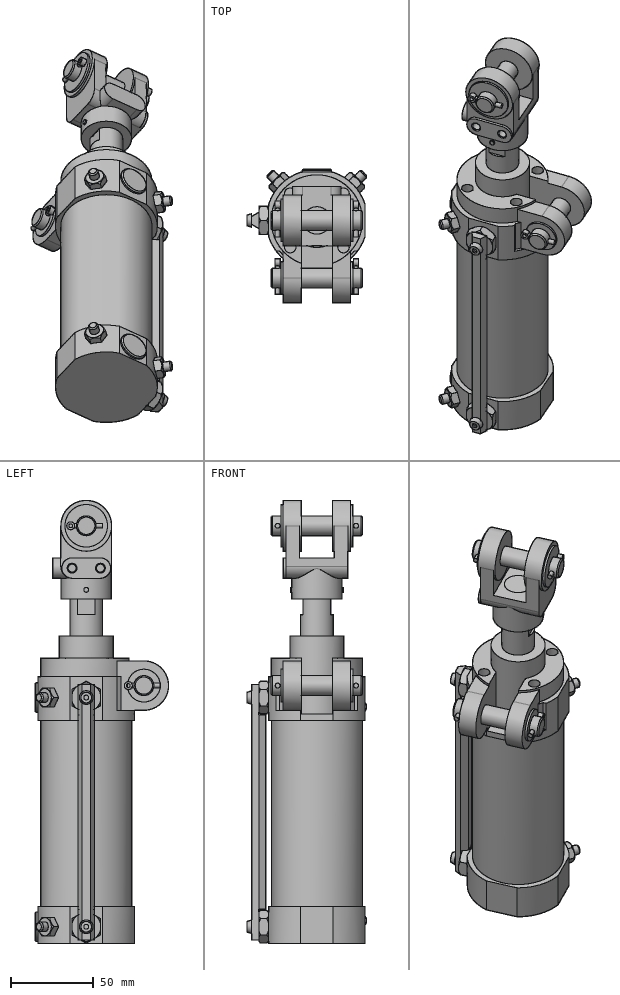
import cadquery as cq
import math


COVER_RADIUS = 31.0
COVER_FLAT = 29.5
REAR_COVER_TOP = 22.6
FRONT_COVER_BOTTOM = 135.5
FRONT_COVER_TOP = 162.2
TUBE_RADIUS = 27.8
FLANGE_TOP = 173.5
BOSS_RADIUS = 16.5
BOSS_TOP = 187.0

REAR_PORT_Z = 10.2
FRONT_PORT_Z = 149.5
PORT_HEIGHTS = (REAR_PORT_Z, FRONT_PORT_Z)

PORT_PAD_DIAMETER = 18.0
PORT_PAD_FACE = 31.3
PORT_PAD_CHAMFER = 0.8

FLANGE_HOLE_DIAMETER = 7.0
FLANGE_HOLE_DEPTH = 6.7
FLANGE_HOLE_RADIUS = 23.0
FLANGE_HOLE_COUNT = 4
FLANGE_HOLE_ANGLE = 45

FITTING_HEX = 13.2
FITTING_HEX_FACE = 35.5
FITTING_TIP_DIAMETER = 6.0
FITTING_TIP_FACE = 40.7
FITTING_TIP_CHAMFER = 0.8
LEFT_FITTING_ANGLE = 135
RIGHT_FITTING_ANGLE = 45
RIGHT_FITTING_HEIGHTS = (14.0, 144.0)
HEX_CHAMFER = 1.0

EAR_INNER = 9.5
EAR_OUTER = 20.5
WASHER_FACE = 21.8
PIN_DIAMETER = 12.0

EAR_RADIUS = 15.0
LOWER_PIN_Y = -35.0
LOWER_PIN_Z = 156.8
LOWER_WASHER_DIAMETER = 20.0
SLOT_FLOOR = 139.5
EAR_BOTTOM = LOWER_PIN_Z - EAR_RADIUS
RELIEF_RADIUS = 29.5
RELIEF_Y = -18.5

ROD_DIAMETER = 20.0
ROD_FLATS = 17.0
ROD_FLATS_BOTTOM = 200.0
ROD_STUD_DIAMETER = 16.7

KNUCKLE_RADIUS = 15.5
KNUCKLE_NECK_DIAMETER = 30.7
KNUCKLE_BOTTOM = 209.5
KNUCKLE_BLOCK_BOTTOM = 222.0
KNUCKLE_BLOCK_ROUND = 7.3
KNUCKLE_ARM_INNER = 10.5
KNUCKLE_ARM_OUTER = 18.9
KNUCKLE_FLOOR = 234.5
KNUCKLE_TOP = 269.5
UPPER_PIN_Z = KNUCKLE_TOP - KNUCKLE_RADIUS
UPPER_WASHER_DIAMETER = 26.0
PAD_HEIGHT = KNUCKLE_FLOOR - KNUCKLE_BLOCK_BOTTOM
PAD_Z = (KNUCKLE_FLOOR + KNUCKLE_BLOCK_BOTTOM) / 2
PAD_LENGTH = 29.6
PAD_FACE = 20.5
PAD_HOLE_DIAMETER = 4.9
PAD_HOLE_MOUTH = 6.0
PAD_HOLE_DEPTH = 5.5
PAD_HOLE_Y = 8.5

SPRING_PIN_DIAMETER = 3.0
SPRING_PIN_LENGTH = 32.3
SPRING_PIN_Z = 215.0

PIN_HALF_LENGTH = 27.8
PIN_CHAMFER = 0.8
COTTER_X = 23.85
COTTER_DIAMETER = 3.0
COTTER_TAIL = 10.0
COTTER_EYE_Y = 9.5
COTTER_EYE_OUTER = 4.9
COTTER_EYE_INNER = 2.3
COTTER_EYE_WIDTH = 3.2

RAIL_CORNERS = 10.0
RAIL_OUTER_FACE = 39.5
RAIL_END_MARGIN = 8.0
RAIL_SCREW_BASE = 8.4
RAIL_SCREW_TIP = 6.5
RAIL_SCREW_FACE = 42.5
RAIL_SOCKET_DIAMETER = 3.0
RAIL_SOCKET_DEPTH = 1.3
RAIL_NUT_CORNERS = 20.0
RAIL_NUT_CLEARANCE = 0.5
RAIL_X = RAIL_OUTER_FACE - RAIL_CORNERS * math.sqrt(3) / 4


def cylinder_z(diameter, bottom, top):
    return cq.Workplane("XY", origin=(0, 0, bottom)).circle(diameter / 2).extrude(top - bottom)


def cylinder_x(diameter, start, end, y, z):
    return cq.Workplane("YZ", origin=(start, y, z)).circle(diameter / 2).extrude(end - start)


def box(x_range, y_range, z_range):
    corner = (x_range[0], y_range[0], z_range[0])
    size = [high - low for low, high in (x_range, y_range, z_range)]
    return cq.Workplane("XY").box(*size, centered=False).translate(corner)


def both_sides(shape):
    """The shape together with its mirror image across X = 0."""
    return shape.union(shape.mirror("YZ"))


def cover(bottom, top):
    square = box((-COVER_FLAT, COVER_FLAT), (-COVER_FLAT, COVER_FLAT), (bottom, top))
    return cylinder_z(2 * COVER_RADIUS, bottom, top).intersect(square)


def port_pad(z):
    pad = cq.Workplane("XZ", origin=(0, PORT_PAD_FACE, z)).circle(PORT_PAD_DIAMETER / 2)
    return pad.extrude(PORT_PAD_FACE - TUBE_RADIUS).faces(">Y").chamfer(PORT_PAD_CHAMFER)


def hexagon_x(corners, start, end, z, chamfered_faces):
    """Hexagon along X with corners towards +Y and -Y, bevelled at the chosen ends."""
    prism = cq.Workplane("YZ", origin=(start, 0, z)).polygon(6, corners).extrude(end - start)
    bevel = cylinder_x(corners, start, end, 0, z).faces(chamfered_faces).chamfer(HEX_CHAMFER)
    return prism.intersect(bevel)


def fitting(z, angle):
    """Hexagon and round tip, built along +X and turned about the cylinder axis."""
    hexagon = hexagon_x(FITTING_HEX, TUBE_RADIUS, FITTING_HEX_FACE, z, ">X")
    tip = cylinder_x(FITTING_TIP_DIAMETER, TUBE_RADIUS, FITTING_TIP_FACE, 0, z)
    tip = tip.faces(">X").chamfer(FITTING_TIP_CHAMFER)
    return hexagon.union(tip).rotate((0, 0, 0), (0, 0, 1), angle)


def rail_nut(z):
    """Nut with corners above and below, between the rail and a flat of the cover."""
    nut = hexagon_x(RAIL_NUT_CORNERS, -RAIL_X, -COVER_FLAT, z, "<X or >X")
    return nut.rotate((0, 0, z), (1, 0, z), 90)


def cover_ears():
    top = LOWER_PIN_Z + EAR_RADIUS
    arm = box((EAR_INNER, EAR_OUTER), (LOWER_PIN_Y, -BOSS_RADIUS), (EAR_BOTTOM, top))
    ear = arm.union(cylinder_x(2 * EAR_RADIUS, EAR_INNER, EAR_OUTER, LOWER_PIN_Y, LOWER_PIN_Z))
    ear = ear.union(cylinder_x(LOWER_WASHER_DIAMETER, EAR_OUTER, WASHER_FACE, LOWER_PIN_Y, LOWER_PIN_Z))
    return both_sides(ear)


def ear_slot():
    """Gap between the ears, ending on the round boss."""
    gap = box((-EAR_INNER, EAR_INNER), (-COVER_RADIUS, 0), (SLOT_FLOOR, FLANGE_TOP))
    return gap.cut(cylinder_z(2 * BOSS_RADIUS, SLOT_FLOOR, FLANGE_TOP))


def ear_reliefs():
    """Shallow arcs cut from the outside of the front cover beside the ears."""
    strip = box((EAR_OUTER, COVER_RADIUS), (-COVER_RADIUS, RELIEF_Y), (EAR_BOTTOM, FRONT_COVER_TOP))
    return both_sides(strip.cut(cylinder_z(2 * RELIEF_RADIUS, EAR_BOTTOM, FRONT_COVER_TOP)))


def make_housing():
    body = cover(0, REAR_COVER_TOP)
    body = body.union(cylinder_z(2 * TUBE_RADIUS, 0, FLANGE_TOP))
    body = body.union(cover(FRONT_COVER_BOTTOM, FRONT_COVER_TOP))
    body = body.union(cylinder_z(2 * BOSS_RADIUS, FRONT_COVER_BOTTOM, BOSS_TOP))
    body = body.cut(ear_reliefs()).union(cover_ears()).cut(ear_slot())
    for z in PORT_HEIGHTS:
        body = body.union(port_pad(z)).union(rail_nut(z))
        body = body.union(fitting(z, LEFT_FITTING_ANGLE))
    for z in RIGHT_FITTING_HEIGHTS:
        body = body.union(fitting(z, RIGHT_FITTING_ANGLE))
    flange_holes = (
        cq.Workplane("XY", origin=(0, 0, FLANGE_TOP))
        .polarArray(FLANGE_HOLE_RADIUS, FLANGE_HOLE_ANGLE, 360, FLANGE_HOLE_COUNT)
        .circle(FLANGE_HOLE_DIAMETER / 2)
        .extrude(-FLANGE_HOLE_DEPTH)
    )
    rod_bore = cylinder_z(ROD_DIAMETER, FRONT_COVER_BOTTOM, BOSS_TOP)
    pin_bore = cylinder_x(PIN_DIAMETER, -PIN_HALF_LENGTH, PIN_HALF_LENGTH, LOWER_PIN_Y, LOWER_PIN_Z)
    return body.cut(flange_holes).cut(rod_bore).cut(pin_bore)


def spring_pin_shape():
    half = SPRING_PIN_LENGTH / 2
    return cylinder_x(SPRING_PIN_DIAMETER, -half, half, 0, SPRING_PIN_Z)


def make_rod():
    rod = cylinder_z(ROD_DIAMETER, FRONT_COVER_BOTTOM, KNUCKLE_BOTTOM)
    beside_flat = box(
        (ROD_FLATS / 2, ROD_DIAMETER), (-ROD_DIAMETER, ROD_DIAMETER), (ROD_FLATS_BOTTOM, KNUCKLE_BOTTOM)
    )
    stud = cylinder_z(ROD_STUD_DIAMETER, KNUCKLE_BOTTOM, KNUCKLE_FLOOR)
    return rod.cut(both_sides(beside_flat)).union(stud).cut(spring_pin_shape())


def knuckle_block():
    """Fork with flat arms, rounded along its two lower edges."""
    block = box(
        (-KNUCKLE_ARM_OUTER, KNUCKLE_ARM_OUTER),
        (-KNUCKLE_RADIUS, KNUCKLE_RADIUS),
        (KNUCKLE_BLOCK_BOTTOM, UPPER_PIN_Z),
    )
    block = block.faces("<Z").edges("|X").fillet(KNUCKLE_BLOCK_ROUND)
    gap = box(
        (-KNUCKLE_ARM_INNER, KNUCKLE_ARM_INNER),
        (-KNUCKLE_RADIUS, KNUCKLE_RADIUS),
        (KNUCKLE_FLOOR, UPPER_PIN_Z),
    )
    return block.cut(gap)


def knuckle_eyes():
    eye = cylinder_x(2 * KNUCKLE_RADIUS, EAR_INNER, EAR_OUTER, 0, UPPER_PIN_Z)
    eye = eye.union(cylinder_x(UPPER_WASHER_DIAMETER, EAR_OUTER, WASHER_FACE, 0, UPPER_PIN_Z))
    return both_sides(eye)


def side_pad():
    """Slot-shaped pad on the -X arm."""
    plane = cq.Workplane("YZ", origin=(-PAD_FACE, 0, PAD_Z))
    return plane.slot2D(PAD_LENGTH, PAD_HEIGHT).extrude(PAD_FACE - KNUCKLE_ARM_OUTER)


def side_pad_holes():
    """Two blind holes with countersunk mouths in the side pad."""
    hole = cylinder_x(PAD_HOLE_DIAMETER, -PAD_FACE, PAD_HOLE_DEPTH - PAD_FACE, 0, PAD_Z)
    mouth = (
        cq.Workplane("YZ", origin=(-PAD_FACE, 0, PAD_Z))
        .circle(PAD_HOLE_MOUTH / 2)
        .workplane(offset=(PAD_HOLE_MOUTH - PAD_HOLE_DIAMETER) / 2)
        .circle(PAD_HOLE_DIAMETER / 2)
        .loft()
    )
    hole = hole.union(mouth).translate((0, PAD_HOLE_Y, 0))
    return hole.union(hole.mirror("XZ"))


def back_pad():
    """Slot-shaped pad on the +Y side of the block."""
    plane = cq.Workplane("XZ", origin=(0, PAD_FACE, PAD_Z))
    return plane.slot2D(PAD_LENGTH, PAD_HEIGHT).extrude(PAD_FACE)


def make_knuckle():
    body = cylinder_z(KNUCKLE_NECK_DIAMETER, KNUCKLE_BOTTOM, KNUCKLE_FLOOR)
    for piece in (knuckle_block(), knuckle_eyes(), side_pad(), back_pad()):
        body = body.union(piece)
    stud_bore = cylinder_z(ROD_STUD_DIAMETER, KNUCKLE_BOTTOM, KNUCKLE_FLOOR)
    pin_bore = cylinder_x(PIN_DIAMETER, -PIN_HALF_LENGTH, PIN_HALF_LENGTH, 0, UPPER_PIN_Z)
    return body.cut(side_pad_holes()).cut(stud_bore).cut(pin_bore).cut(spring_pin_shape())


def cotter():
    """Shank along Y with a ring-shaped eye on the +Y side."""
    shank = cq.Workplane("XZ", origin=(COTTER_X, COTTER_EYE_Y, 0)).circle(COTTER_DIAMETER / 2)
    shank = shank.extrude(COTTER_EYE_Y + COTTER_TAIL)
    start = COTTER_X - COTTER_EYE_WIDTH / 2
    end = COTTER_X + COTTER_EYE_WIDTH / 2
    eye = cylinder_x(COTTER_EYE_OUTER, start, end, COTTER_EYE_Y, 0)
    return shank.union(eye).cut(cylinder_x(COTTER_EYE_INNER, start, end, COTTER_EYE_Y, 0))


def hinge_pin(y, z):
    pin = cylinder_x(PIN_DIAMETER, -PIN_HALF_LENGTH, PIN_HALF_LENGTH, 0, 0)
    pin = pin.faces("<X or >X").chamfer(PIN_CHAMFER)
    return pin.union(both_sides(cotter())).translate((0, y, z))


def rail_screw(z):
    head = (
        cq.Workplane("YZ", origin=(-RAIL_OUTER_FACE, 0, z))
        .circle(RAIL_SCREW_BASE / 2)
        .workplane(offset=RAIL_OUTER_FACE - RAIL_SCREW_FACE)
        .circle(RAIL_SCREW_TIP / 2)
        .loft()
    )
    socket = cylinder_x(
        RAIL_SOCKET_DIAMETER, -RAIL_SCREW_FACE, RAIL_SOCKET_DEPTH - RAIL_SCREW_FACE, 0, z
    )
    return head.cut(socket)


def make_rail():
    """Hexagon bar; its inner half is cut away at both ends to sit on the nuts."""
    bottom = REAR_PORT_Z - RAIL_END_MARGIN
    top = FRONT_PORT_Z + RAIL_END_MARGIN
    rail = cq.Workplane("XY", origin=(-RAIL_X, 0, bottom)).polygon(6, RAIL_CORNERS).extrude(top - bottom)
    rail = rail.rotate((-RAIL_X, 0, 0), (-RAIL_X, 0, 1), 90)
    clearance = RAIL_NUT_CORNERS / 2 + RAIL_NUT_CLEARANCE
    for low, high in ((0, REAR_PORT_Z + clearance), (FRONT_PORT_Z - clearance, FLANGE_TOP)):
        rail = rail.cut(box((-RAIL_X, 0), (-RAIL_CORNERS, RAIL_CORNERS), (low, high)))
    for z in PORT_HEIGHTS:
        rail = rail.union(rail_screw(z))
    return rail


housing = make_housing()
rod = make_rod()
knuckle = make_knuckle()
spring_pin = spring_pin_shape()
hinge_pins = [hinge_pin(y, z) for y, z in ((LOWER_PIN_Y, LOWER_PIN_Z), (0, UPPER_PIN_Z))]
rail = make_rail()

result = cq.Compound.makeCompound(
    [
        housing.val(),
        rod.val(),
        knuckle.val(),
        spring_pin.val(),
        *[pin.val() for pin in hinge_pins],
        rail.val(),
    ]
)